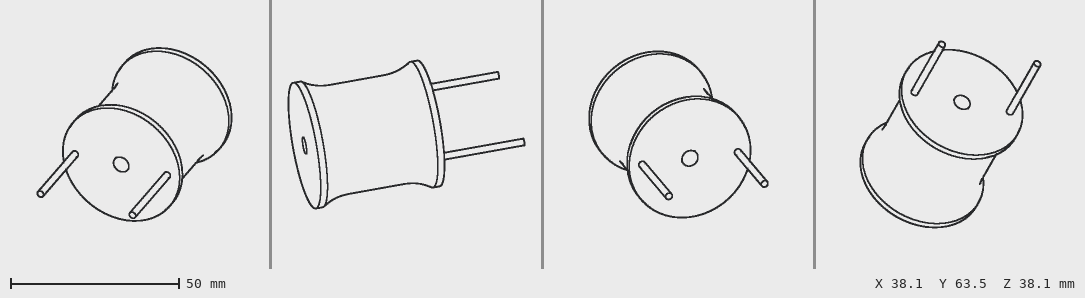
import cadquery as cq
import math

body_length = 38.1
flange_radius = 19.05
flange_thickness = 2.1
waist_radius = 16.5
waist_length = 17.15
bore_diameter = 5.0
pin_diameter = 2.1
pin_length = 25.4
pin_spacing = 30.0

flare_length = (body_length - waist_length) / 2 - flange_thickness
flare_rise = flange_radius - waist_radius
flare_radius = (flare_length**2 + flare_rise**2) / (2 * flare_rise)
flare_middle_radius = waist_radius + flare_radius - math.sqrt(flare_radius**2 - (flare_length / 2) ** 2)

front_flare_start = flange_thickness
waist_start = front_flare_start + flare_length
waist_end = waist_start + waist_length
rear_flare_end = waist_end + flare_length


def make_body():
    """Revolve the flanged, waisted half-profile about the Y axis."""
    return (
        cq.Workplane("XY")
        .lineTo(flange_radius, 0)
        .lineTo(flange_radius, front_flare_start)
        .threePointArc(
            (flare_middle_radius, front_flare_start + flare_length / 2),
            (waist_radius, waist_start),
        )
        .lineTo(waist_radius, waist_end)
        .threePointArc(
            (flare_middle_radius, waist_end + flare_length / 2),
            (flange_radius, rear_flare_end),
        )
        .lineTo(flange_radius, body_length)
        .lineTo(0, body_length)
        .close()
        .revolve(360, (0, 0, 0), (0, 1, 0))
    )


def make_bore():
    """Through hole along the bobbin axis."""
    return cq.Workplane("XZ").circle(bore_diameter / 2).extrude(-body_length)


def make_pins():
    """Two straight leads that stand on the pin face and point toward -Y."""
    return (
        cq.Workplane("XZ")
        .pushPoints([(-pin_spacing / 2, 0), (pin_spacing / 2, 0)])
        .circle(pin_diameter / 2)
        .extrude(pin_length)
    )


result = make_body().cut(make_bore()).union(make_pins())